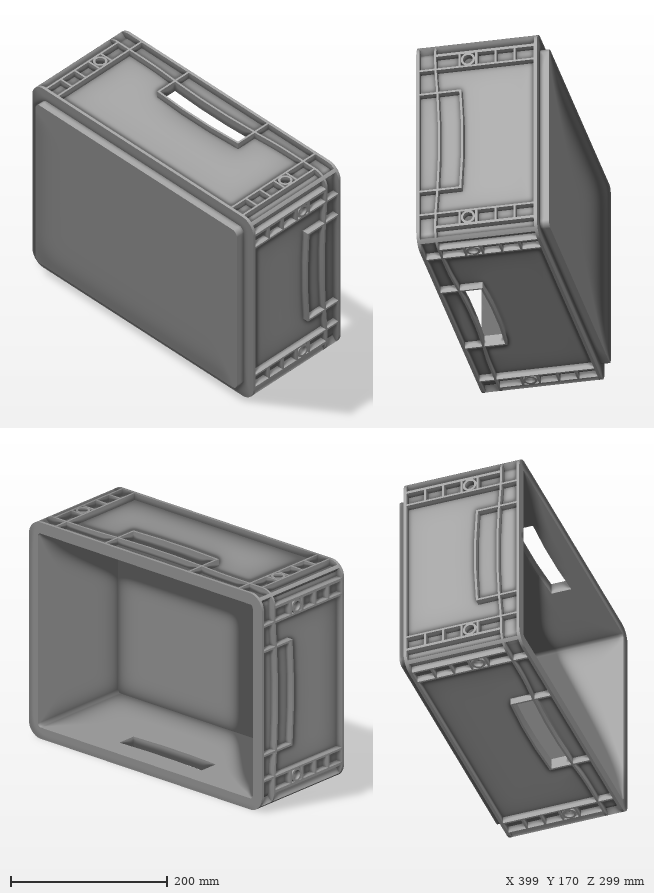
import cadquery as cq
import math

LENGTH_X = 399.0
WIDTH_Z = 299.0
HEIGHT_Y = 170.0

FOOT_HEIGHT = 12.0
FOOT_INSET = 17.7
FOOT_CORNER_RADIUS = 8.0
CORNER_RADIUS = 20.0

RIB_HEIGHT = 9.5
WALL_THICKNESS = 6.0
RIM_THICKNESS = 4.0
RIB_THICKNESS = 2.7
CORNER_RIB_THICKNESS = 5.0

POST_START = 20.5
LONG_WALL_POST_THICKNESS = RIB_THICKNESS
SHORT_WALL_POST_THICKNESS = 3.7
COLUMN_END = 44.0

BOSS_RIB_DEPTHS = (56.6, 78.7)
LOWER_RIB_DEPTHS = (103.7, 128.7)
BOSS_RADIUS = 9.3
BOSS_HOLE_RADIUS = 6.3

BELT_END_DEPTH = 23.4
BELT_ARC_RADIUS = 1080.0
BELT_ARC_HALF_SPAN = 88.0
BELT_STRAIGHT_START = 130.0

GRIP_HALF_WIDTH = 70.5
GRIP_CORNER_DEPTH = 56.3
GRIP_ARC_RADIUS = 950.0

BODY_BOTTOM = FOOT_HEIGHT
RIM_UNDERSIDE = HEIGHT_Y - RIM_THICKNESS
FLOOR_TOP = BODY_BOTTOM + RIM_THICKNESS
HALF_X = LENGTH_X / 2
HALF_Z = WIDTH_Z / 2
CAVITY_INSET = RIB_HEIGHT + WALL_THICKNESS
ROOT_DEPTH = RIB_HEIGHT + WALL_THICKNESS / 2
CORE_RADIUS = CORNER_RADIUS - RIB_HEIGHT
CAVITY_RADIUS = CORNER_RADIUS - CAVITY_INSET
FRAME_HALF_WIDTH = GRIP_HALF_WIDTH + RIB_THICKNESS
BELT_TOP = HEIGHT_Y - BELT_END_DEPTH
GRIP_CORNER_Y = HEIGHT_Y - GRIP_CORNER_DEPTH


def arc_sag(radius, half_span):
    """Height of an arc over its chord."""
    return radius - math.sqrt(radius**2 - half_span**2)


ARC_END_ANGLE = math.asin(BELT_ARC_HALF_SPAN / BELT_ARC_RADIUS)
BLEND_LENGTH = BELT_STRAIGHT_START - BELT_ARC_HALF_SPAN
BLEND_RADIUS = BLEND_LENGTH / math.sin(ARC_END_ANGLE)
BLEND_DROP = arc_sag(BLEND_RADIUS, BLEND_LENGTH)
BELT_CENTRE_DROP = BLEND_DROP + arc_sag(BELT_ARC_RADIUS, BELT_ARC_HALF_SPAN)


def rounded_prism(inset, radius, y_bottom, y_top):
    """Rounded rectangle, set in from the body outline, standing along Y."""
    return (
        cq.Workplane("XZ", origin=(0, y_bottom, 0))
        .rect(LENGTH_X - 2 * inset, WIDTH_Z - 2 * inset)
        .extrude(y_bottom - y_top)
        .edges("|Y")
        .fillet(radius)
    )


def wall_rib(u_start, u_end, y_bottom, y_top, reach):
    """Straight rib whose outer face lies at z = reach."""
    return (
        cq.Workplane("XY", origin=(0, 0, reach - ROOT_DEPTH))
        .moveTo(u_start, y_bottom)
        .lineTo(u_end, y_bottom)
        .lineTo(u_end, y_top)
        .lineTo(u_start, y_top)
        .close()
        .extrude(ROOT_DEPTH)
    )


def belt_curve(sketch, level, half_length, direction):
    """Trace one face of the belt along u, in the given direction (+1 or -1)."""
    blend_middle = BELT_STRAIGHT_START - BLEND_LENGTH / 2
    blend_middle_y = level - arc_sag(BLEND_RADIUS, BLEND_LENGTH / 2)
    arc_end_y = level - BLEND_DROP
    return (
        sketch.lineTo(-direction * BELT_STRAIGHT_START, level)
        .threePointArc(
            (-direction * blend_middle, blend_middle_y),
            (-direction * BELT_ARC_HALF_SPAN, arc_end_y),
        )
        .threePointArc(
            (0, level - BELT_CENTRE_DROP),
            (direction * BELT_ARC_HALF_SPAN, arc_end_y),
        )
        .threePointArc(
            (direction * blend_middle, blend_middle_y),
            (direction * BELT_STRAIGHT_START, level),
        )
        .lineTo(direction * half_length, level)
    )


def belt(half_length, reach):
    belt_bottom = BELT_TOP - RIB_THICKNESS
    sketch = cq.Workplane("XY", origin=(0, 0, reach - ROOT_DEPTH))
    sketch = belt_curve(sketch.moveTo(-half_length, BELT_TOP), BELT_TOP, half_length, 1)
    sketch = belt_curve(sketch.lineTo(half_length, belt_bottom), belt_bottom, half_length, -1)
    return sketch.close().extrude(ROOT_DEPTH)


def grip_block(half_width, corner_y, z_start, depth):
    """Block hanging from the rim, with a sagging lower face."""
    lowest_y = corner_y - arc_sag(GRIP_ARC_RADIUS, half_width)
    return (
        cq.Workplane("XY", origin=(0, 0, z_start))
        .moveTo(-half_width, RIM_UNDERSIDE)
        .lineTo(-half_width, corner_y)
        .threePointArc((0, lowest_y), (half_width, corner_y))
        .lineTo(half_width, RIM_UNDERSIDE)
        .close()
        .extrude(depth)
    )


def grip_frame(reach):
    z_root = reach - ROOT_DEPTH
    outer = grip_block(FRAME_HALF_WIDTH, GRIP_CORNER_Y - RIB_THICKNESS, z_root, ROOT_DEPTH)
    return outer.cut(grip_block(GRIP_HALF_WIDTH, GRIP_CORNER_Y, z_root, ROOT_DEPTH))


def cell_column(half_length, reach, post_thickness, side):
    """Two posts, cross ribs and a hollow boss at one end of a wall."""
    def u_at(inset):
        return side * (half_length - inset)

    post_end = POST_START + post_thickness
    inner_start = COLUMN_END - RIB_THICKNESS
    column = wall_rib(u_at(POST_START), u_at(post_end), FLOOR_TOP, BELT_TOP, reach)
    column = column.union(
        wall_rib(u_at(inner_start), u_at(COLUMN_END), FLOOR_TOP, RIM_UNDERSIDE, reach)
    )
    for depth in BOSS_RIB_DEPTHS + LOWER_RIB_DEPTHS:
        middle_y = HEIGHT_Y - depth
        column = column.union(
            wall_rib(
                u_at(POST_START),
                u_at(COLUMN_END),
                middle_y - RIB_THICKNESS / 2,
                middle_y + RIB_THICKNESS / 2,
                reach,
            )
        )

    boss_u = u_at((post_end + inner_start) / 2)
    boss_y = HEIGHT_Y - sum(BOSS_RIB_DEPTHS) / 2
    boss = (
        cq.Workplane("XY", origin=(boss_u, boss_y, reach - ROOT_DEPTH))
        .circle(BOSS_RADIUS)
        .extrude(ROOT_DEPTH)
    )
    hole = (
        cq.Workplane("XY", origin=(boss_u, boss_y, reach - RIB_HEIGHT))
        .circle(BOSS_HOLE_RADIUS)
        .extrude(RIB_HEIGHT)
    )
    return column.union(boss).cut(hole)


def wall_features(half_length, reach, post_thickness):
    features = belt(half_length, reach).union(grip_frame(reach))
    for side in (-1, 1):
        features = features.union(cell_column(half_length, reach, post_thickness, side))
    return features


def turn_about_y(shape, angle):
    return shape.rotate((0, 0, 0), (0, 1, 0), angle)


def corner_rib(x_side, z_side):
    """Upright rib running diagonally outwards from the corner's centre."""
    centre_x = x_side * (HALF_X - CORNER_RADIUS)
    centre_z = z_side * (HALF_Z - CORNER_RADIUS)
    inner_radius = CORNER_RADIUS - ROOT_DEPTH
    outer_radius = CORNER_RADIUS + RIB_HEIGHT
    rib = cq.Workplane("XY").box(
        outer_radius - inner_radius,
        RIM_UNDERSIDE - FLOOR_TOP,
        CORNER_RIB_THICKNESS,
    )
    rib = rib.translate(((inner_radius + outer_radius) / 2, (RIM_UNDERSIDE + FLOOR_TOP) / 2, 0))
    direction = math.degrees(math.atan2(-z_side, x_side))
    return turn_about_y(rib, direction).translate((centre_x, 0, centre_z))


def grip_opening():
    """Opening below the belt, through both long walls."""
    corner_drop = BELT_CENTRE_DROP - arc_sag(BELT_ARC_RADIUS, GRIP_HALF_WIDTH)
    belt_bottom = BELT_TOP - RIB_THICKNESS
    return (
        cq.Workplane("XY", origin=(0, 0, -HALF_Z))
        .moveTo(-GRIP_HALF_WIDTH, GRIP_CORNER_Y)
        .threePointArc(
            (0, GRIP_CORNER_Y - arc_sag(GRIP_ARC_RADIUS, GRIP_HALF_WIDTH)),
            (GRIP_HALF_WIDTH, GRIP_CORNER_Y),
        )
        .lineTo(GRIP_HALF_WIDTH, belt_bottom - corner_drop)
        .threePointArc(
            (0, belt_bottom - BELT_CENTRE_DROP),
            (-GRIP_HALF_WIDTH, belt_bottom - corner_drop),
        )
        .close()
        .extrude(WIDTH_Z)
    )


body = rounded_prism(RIB_HEIGHT, CORE_RADIUS, BODY_BOTTOM, HEIGHT_Y)
body = body.union(rounded_prism(0, CORNER_RADIUS, BODY_BOTTOM, FLOOR_TOP))
body = body.union(rounded_prism(0, CORNER_RADIUS, RIM_UNDERSIDE, HEIGHT_Y))

long_wall = wall_features(HALF_X, HALF_Z, LONG_WALL_POST_THICKNESS)
short_wall = wall_features(HALF_Z, HALF_X, SHORT_WALL_POST_THICKNESS)
for half_turn in (0, 180):
    body = body.union(turn_about_y(long_wall, half_turn))
    body = body.union(turn_about_y(short_wall, half_turn + 90))
for x_side in (-1, 1):
    for z_side in (-1, 1):
        body = body.union(corner_rib(x_side, z_side))

body = body.intersect(rounded_prism(0, CORNER_RADIUS, BODY_BOTTOM, HEIGHT_Y))
body = body.cut(rounded_prism(CAVITY_INSET, CAVITY_RADIUS, FLOOR_TOP, HEIGHT_Y))
body = body.cut(grip_opening())

foot = rounded_prism(FOOT_INSET, FOOT_CORNER_RADIUS, 0, BODY_BOTTOM)
result = body.union(foot)